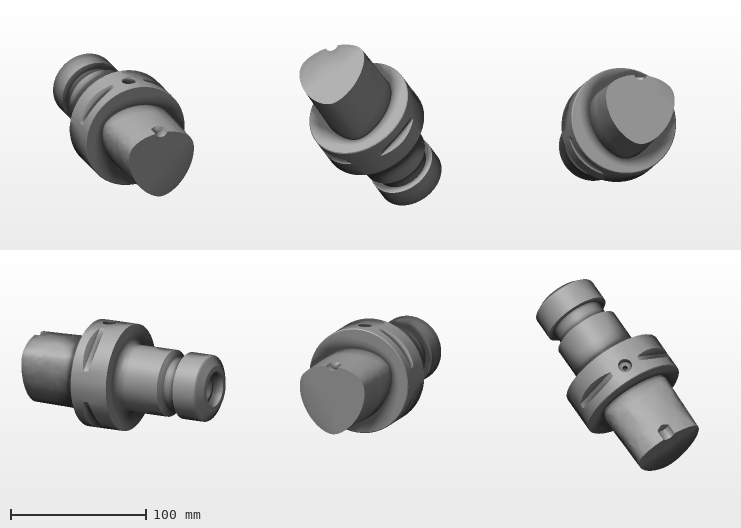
import cadquery as cq
import math

total_length = 148.0
nut_end = 22.3
body_cone_end = 35.4
body_end = 63.3
relief_end = 64.8
flange_start = 70.2
flange_end = 99.9
shank_start = 102.1

nose_radius = 17.3
cone_angle = 60
nose_edge_fillet = 1.8
nut_edge_fillet = 2.4
body_radius = 50.0 / 2
relief_radius = 49.7 / 2
neck_radius = 40 / 2
flange_root_fillet = flange_start - relief_end

flange_radius = 80.0 / 2
flange_chamfer = 0.6

bore_radius = 13.2
mouth_depth = 4.7
shoulder_depth = 8.1
shoulder_radius = 13.5
inner_bore_radius = 11.0
inner_bore_depth = 59.2

shank_mean_radius = 27.4
lobe_height = 2.0
shank_taper = 0.025
collar_inset = 0.6
lobe_angle = -90
section_points = 72

slot_x = 87.9
slot_floor_distance = 35.4
slot_floor_width = 3.8
slot_flank_angle = 30
slot_overshoot = 1.5
slot_angles = (45, 135, 225, 315)

hole_diameter = 10.0
hole_chamfer = 0.3
hole_depth = 5.0
pilot_diameter = 4.0
pilot_depth = 4.5
drill_tip_angle = 118

notch_radius = 5.0
notch_start = 139.7
notch_axis_z = 25.5


def drill_tip_length(radius):
    return radius / math.tan(math.radians(drill_tip_angle / 2))


def make_nut():
    cone = (body_radius - nose_radius) / math.tan(math.radians(cone_angle))
    sketch = (
        cq.Workplane("XY")
        .polyline([(0, 0), (0, nose_radius), (cone, body_radius), (nut_end, body_radius), (nut_end, 0)])
        .close()
    )
    nut = sketch.revolve(360, (0, 0, 0), (1, 0, 0))
    shoulder_edge = nut.faces("%CONE").edges(">X")
    nut = shoulder_edge.fillet(nut_edge_fillet)
    return nut.faces("<X").edges().fillet(nose_edge_fillet)


def make_body():
    body_cone_length = (body_radius - neck_radius) / math.tan(math.radians(cone_angle))
    root_mid = flange_root_fillet * math.sqrt(0.5)
    root_top = relief_radius + flange_root_fillet
    return (
        cq.Workplane("XY")
        .moveTo(nut_end, 0)
        .lineTo(nut_end, neck_radius)
        .lineTo(body_cone_end - body_cone_length, neck_radius)
        .lineTo(body_cone_end, body_radius)
        .lineTo(body_end, body_radius)
        .lineTo(body_end, relief_radius)
        .lineTo(relief_end, relief_radius)
        .threePointArc((relief_end + root_mid, root_top - root_mid), (flange_start, root_top))
        .lineTo(flange_start, flange_radius)
        .lineTo(flange_end - flange_chamfer, flange_radius)
        .lineTo(flange_end, flange_radius - flange_chamfer)
        .lineTo(flange_end, 0)
        .close()
        .revolve(360, (0, 0, 0), (1, 0, 0))
    )


def lobed_section(plane, mean_radius):
    """Closed curve whose distance to its tangent is mean_radius + lobe_height * cos(3 t)."""

    def point(t):
        reach = mean_radius + lobe_height * math.cos(3 * t)
        slide = -3 * lobe_height * math.sin(3 * t)
        turn = t + math.radians(lobe_angle)
        return (
            reach * math.cos(turn) - slide * math.sin(turn),
            reach * math.sin(turn) + slide * math.cos(turn),
        )

    step = 2 * math.pi / section_points
    points = [point(index * step) for index in range(section_points)]
    return plane.spline(points, periodic=True).wire()


def make_shank():
    collar_plane = cq.Workplane("YZ", origin=(flange_end, 0, 0))
    collar_length = shank_start - flange_end
    collar = lobed_section(collar_plane, shank_mean_radius - collar_inset).extrude(collar_length)
    length = total_length - shank_start
    large_end = lobed_section(cq.Workplane("YZ", origin=(shank_start, 0, 0)), shank_mean_radius)
    small_end = large_end.workplane(offset=length)
    taper = lobed_section(small_end, shank_mean_radius - shank_taper * length).loft(ruled=True)
    return collar.union(taper)


def make_bore():
    """Straight mouth, slightly flaring seat, shoulder and long blind inner bore."""
    return (
        cq.Workplane("XY")
        .polyline(
            [
                (0, 0),
                (0, bore_radius),
                (mouth_depth, bore_radius),
                (shoulder_depth, shoulder_radius),
                (shoulder_depth, inner_bore_radius),
                (inner_bore_depth, inner_bore_radius),
                (inner_bore_depth, 0),
            ]
        )
        .close()
        .revolve(360, (0, 0, 0), (1, 0, 0))
    )


def make_slot(angle):
    top = flange_radius + slot_overshoot
    rise = top - slot_floor_distance
    half_floor = slot_floor_width / 2
    half_top = half_floor + rise * math.tan(math.radians(slot_flank_angle))
    slot = (
        cq.Workplane("XZ")
        .polyline(
            [
                (slot_x - half_floor, slot_floor_distance),
                (slot_x + half_floor, slot_floor_distance),
                (slot_x + half_top, top),
                (slot_x - half_top, top),
            ]
        )
        .close()
        .extrude(flange_radius, both=True)
    )
    return slot.rotate((0, 0, 0), (1, 0, 0), angle)


def make_radial_hole():
    """Chamfered counterbore and drilled pilot, turned about a radial axis."""
    wide = hole_diameter / 2
    pilot = pilot_diameter / 2
    floor = flange_radius - hole_depth
    pilot_floor = floor - pilot_depth
    return (
        cq.Workplane("XZ")
        .polyline(
            [
                (0, flange_radius),
                (wide + hole_chamfer, flange_radius),
                (wide + hole_chamfer, flange_radius - hole_chamfer),
                (wide, flange_radius - 2 * hole_chamfer),
                (wide, floor),
                (pilot, floor),
                (pilot, pilot_floor),
                (0, pilot_floor - drill_tip_length(pilot)),
            ]
        )
        .close()
        .revolve(360, (0, 0, 0), (0, 1, 0))
        .translate((slot_x, 0, 0))
    )


def make_notch():
    """Drilled groove along the shank, with a conical inner end."""
    return (
        cq.Workplane("XZ")
        .polyline(
            [
                (notch_start - drill_tip_length(notch_radius), 0),
                (notch_start, notch_radius),
                (total_length, notch_radius),
                (total_length, 0),
            ]
        )
        .close()
        .revolve(360, (0, 0, 0), (1, 0, 0))
        .translate((0, 0, notch_axis_z))
    )


result = make_nut().union(make_body()).union(make_shank())
result = result.cut(make_bore()).cut(make_radial_hole()).cut(make_notch())
for slot_angle in slot_angles:
    result = result.cut(make_slot(slot_angle))